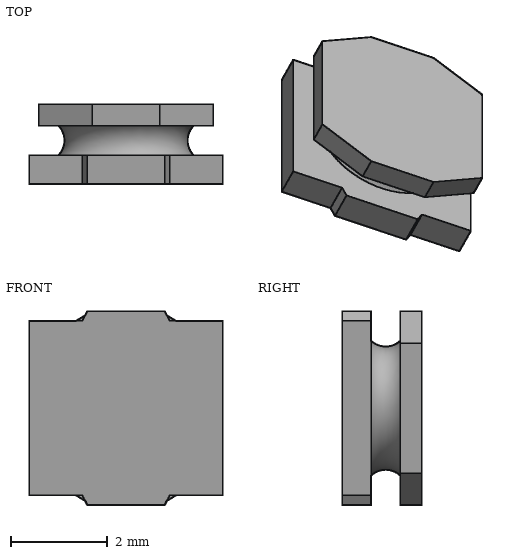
import cadquery as cq

overall_height = 4.0
overall_depth = 1.65

front_width = 4.0
front_thickness = 0.6
tab_height = 0.2
tab_base_width = 1.8
tab_tip_width = 1.6

flange_width = 3.6
flange_top_width = 1.4
flange_side_height = 2.68
flange_thickness = 0.45

core_end_diameter = 2.785
core_waist_diameter = 2.55

front_face = -overall_depth / 2
core_front = front_face + front_thickness
core_rear = overall_depth / 2 - flange_thickness


def mirrored_plate(quadrant, start_y, thickness):
    """Extrude toward +Y an XZ outline given by its points from the top to the +X side."""
    right = quadrant + [(x, -z) for x, z in reversed(quadrant)]
    left = [(-x, z) for x, z in reversed(right)]
    plane = cq.Workplane("XZ", origin=(0, start_y, 0))
    return plane.polyline(right + left).close().extrude(-thickness)


def make_front_plate():
    shoulder = overall_height / 2 - tab_height
    quadrant = [
        (tab_tip_width / 2, overall_height / 2),
        (tab_base_width / 2, shoulder),
        (front_width / 2, shoulder),
    ]
    return mirrored_plate(quadrant, front_face, front_thickness)


def make_flange():
    quadrant = [
        (flange_top_width / 2, overall_height / 2),
        (flange_width / 2, flange_side_height / 2),
    ]
    return mirrored_plate(quadrant, core_rear, flange_thickness)


def make_core():
    end_radius = core_end_diameter / 2
    waist = (core_waist_diameter / 2, (core_front + core_rear) / 2)
    profile = (
        cq.Workplane("XY")
        .moveTo(0, core_front)
        .lineTo(end_radius, core_front)
        .threePointArc(waist, (end_radius, core_rear))
        .lineTo(0, core_rear)
        .close()
    )
    return profile.revolve(360, (0, 0, 0), (0, 1, 0))


result = make_front_plate().union(make_core()).union(make_flange())